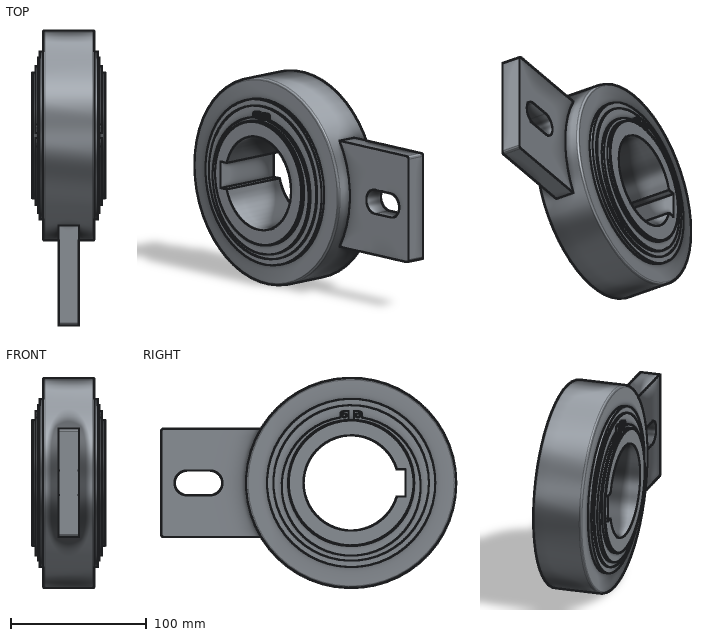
import cadquery as cq

housing_radius = 77.5
housing_width = 37.8
housing_edge_radius = 1.5

shoulder_radius = 62.0
shoulder_width = 43.0
seal_radius = 57.3
seal_width = 45.0

inner_ring_radius = 46.5
inner_ring_width = 54.0
inner_ring_chamfer = 0.5
bore_radius = 35.0
keyway_width = 20.0
keyway_reach = 39.9

retainer_thickness = 2.0
retainer_radius = 51.2
retainer_drop = 2.4
retainer_gap = 4.0
lug_width = 6.0
lug_top = 52.8
lug_corner_radius = 2.5
lug_hole_offset = retainer_gap / 2 + lug_width / 2
lug_hole_height = lug_top - lug_width / 2
lug_hole_diameter = 3.0

arm_thickness = 15.0
arm_height = 80.0
arm_reach = 140.0
arm_corner_radius = 2.0
arm_root = (bore_radius + housing_radius) / 2
slot_length = 35.0
slot_width = 18.0
slot_center_y = -112.5


def disc(radius, width):
    """Disc around the X axis, centred on X = 0."""
    return cq.Workplane("YZ", origin=(-width / 2, 0, 0)).circle(radius).extrude(width)


def make_body():
    housing = disc(housing_radius, housing_width).edges().fillet(housing_edge_radius)
    inner_ring = disc(inner_ring_radius, inner_ring_width).edges().chamfer(inner_ring_chamfer)
    shoulders = disc(shoulder_radius, shoulder_width)
    seals = disc(seal_radius, seal_width)
    return housing.union(shoulders).union(seals).union(inner_ring)


def make_arm():
    length = arm_reach - arm_root
    arm = (
        cq.Workplane("XY")
        .box(arm_thickness, length, arm_height)
        .translate((0, -arm_root - length / 2, 0))
        .edges("|X and <Y")
        .fillet(arm_corner_radius)
    )
    slot = (
        cq.Workplane("YZ")
        .center(slot_center_y, 0)
        .slot2D(slot_length, slot_width)
        .extrude(arm_thickness, both=True)
    )
    return arm.cut(slot)


def make_lug(side):
    """End of the retaining ring, square towards the gap and rounded away from it."""
    inner_y = side * retainer_gap / 2
    outer_y = side * (retainer_gap / 2 + lug_width)
    corner_y = outer_y - side * lug_corner_radius
    lug_foot = inner_ring_radius - lug_corner_radius
    return (
        cq.Workplane("YZ")
        .moveTo(inner_y, lug_foot)
        .lineTo(inner_y, lug_top)
        .lineTo(corner_y, lug_top)
        .radiusArc((outer_y, lug_top - lug_corner_radius), side * lug_corner_radius)
        .lineTo(outer_y, lug_foot)
        .close()
        .extrude(retainer_thickness)
    )


def make_retainer():
    """Retaining ring on the +X side."""
    retainer = (
        cq.Workplane("YZ")
        .center(0, -retainer_drop)
        .circle(retainer_radius)
        .extrude(retainer_thickness)
    )
    for side in (-1, 1):
        retainer = retainer.union(make_lug(side))
    gap = (
        cq.Workplane("YZ")
        .center(0, housing_radius / 2)
        .rect(retainer_gap, housing_radius)
        .extrude(retainer_thickness)
    )
    lug_holes = (
        cq.Workplane("YZ")
        .pushPoints([(-lug_hole_offset, lug_hole_height), (lug_hole_offset, lug_hole_height)])
        .circle(lug_hole_diameter / 2)
        .extrude(retainer_thickness)
    )
    return retainer.cut(gap).cut(lug_holes).translate((seal_width / 2, 0, 0))


def make_keyed_bore():
    keyway = (
        cq.Workplane("XY")
        .box(inner_ring_width, keyway_reach, keyway_width)
        .translate((0, keyway_reach / 2, 0))
    )
    return disc(bore_radius, inner_ring_width).union(keyway)


retainer = make_retainer()
result = (
    make_body()
    .union(make_arm())
    .union(retainer)
    .union(retainer.mirror("YZ"))
    .cut(make_keyed_bore())
)